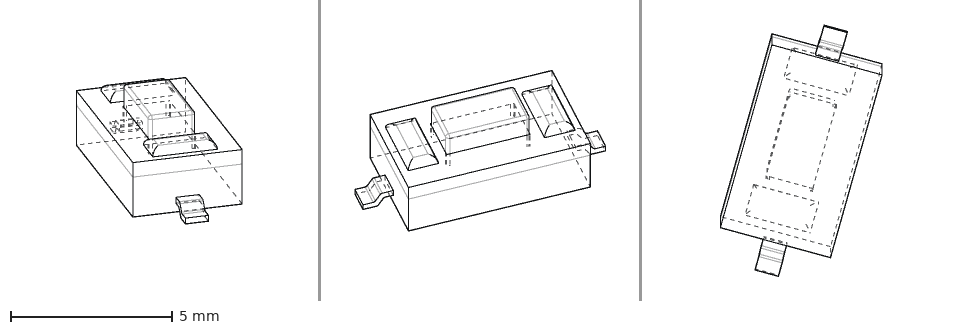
import cadquery as cq
import math

overall_length = 8.0

body_length = 6.0
body_width = 3.55
base_height = 1.35
cover_height = 0.49
body_height = base_height + cover_height

button_length = 2.75
button_width = 1.5
button_top = 2.6
button_round = 0.1

pad_length = 1.0
pad_width = 2.1
pad_height = 0.26
pad_offset = 2.25

lead_width = 0.75
lead_thickness = 0.2
lead_top = 0.5
foot_length = 0.38
bend_run = 0.21
bend_radius = 0.09


def block(length, width, height, bottom):
    """Box centred on X and Y, standing on the given height."""
    return (
        cq.Workplane("XY")
        .workplane(offset=bottom)
        .box(length, width, height, centered=(True, True, False))
    )


def rounded_ridge(plane, span, depth):
    """Ridge on the cover whose two upper edges are quarter circles of the full pad height."""
    half_span = span / 2
    half_flat = half_span - pad_height
    top = body_height + pad_height
    diagonal = pad_height * math.sqrt(0.5)
    return (
        cq.Workplane(plane)
        .moveTo(-half_span, body_height)
        .threePointArc((-half_flat - diagonal, body_height + diagonal), (-half_flat, top))
        .lineTo(half_flat, top)
        .threePointArc((half_flat + diagonal, body_height + diagonal), (half_span, body_height))
        .close()
        .extrude(depth / 2, both=True)
    )


def make_pad():
    """Pad with rounded sides that meet in mitred corners."""
    along_x = rounded_ridge("XZ", pad_length, pad_width)
    along_y = rounded_ridge("YZ", pad_width, pad_length)
    return along_x.intersect(along_y)


def make_button():
    """Button with rounded corners, standing on the base inside the cover opening."""
    button = block(button_length, button_width, button_top - base_height, base_height)
    return button.edges("|Z or >Z").fillet(button_round)


def make_left_lead():
    """Z-bent strip of constant thickness, with its foot on the ground."""
    tip = -overall_length / 2
    body_side = -body_length / 2
    upper_start = tip + foot_length
    upper_end = upper_start + bend_run
    bend_angle = math.atan2(lead_top - lead_thickness, bend_run)
    corner_shift = lead_thickness * math.tan(bend_angle / 2)
    profile = [
        (tip, 0),
        (upper_start + corner_shift, 0),
        (upper_end + corner_shift, lead_top - lead_thickness),
        (body_side, lead_top - lead_thickness),
        (body_side, lead_top),
        (upper_end, lead_top),
        (upper_start, lead_thickness),
        (tip, lead_thickness),
    ]
    lead = cq.Workplane("XZ").polyline(profile).close().extrude(lead_width / 2, both=True)
    return lead.edges("|Y").edges("not(<X or >X)").fillet(bend_radius)


base = block(body_length, body_width, base_height, 0)
cover = block(body_length, body_width, cover_height, base_height)
opening = block(button_length, button_width, cover_height, base_height)
cover = cover.cut(opening)

result = base.union(cover, clean=False)

result = result.union(make_button(), clean=False)

left_pad = make_pad().translate((-pad_offset, 0, 0))
left_lead = make_left_lead()
for left_part in (left_pad, left_lead):
    result = result.union(left_part, clean=False)
    result = result.union(left_part.mirror("YZ"), clean=False)